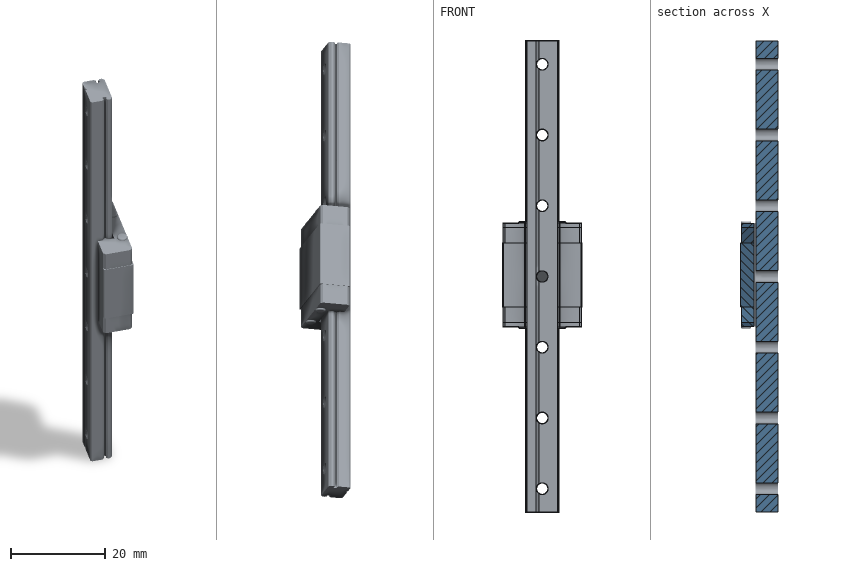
import cadquery as cq


rail_length = 100.0
rail_width = 7.0
rail_height = 4.8
rail_top_chamfer = 0.5
rail_bottom_chamfer = 0.3
hole_diameter = 2.4
hole_pitch = 15.0
hole_count = 7

race_height = 3.2
race_depth = 0.6
relief_radius = 0.4
relief_offset = 2.8

mark_radius = 0.3
mark_offset = -1.0

carriage_shift = 0.3
block_width = 16.9
block_length = 13.6
block_chamfer = 0.2
block_bottom = 1.5
block_top = 8.1
cap_width = 16.7
cap_bottom = block_bottom
cap_top = 7.9
cap_chamfer = 0.5
carriage_length = 22.0
seal_thickness = 0.9
cap_length = (carriage_length - block_length) / 2 - seal_thickness

channel_width = 7.5
channel_top = 5.1
tooth_depth = 0.7

screw_diameter = 2.2
screw_top_diameter = 1.6
screw_head_height = 0.35
screw_rounding = (screw_diameter - screw_top_diameter) / 2
screw_offset = 3.9
screw_height = 6.8


def mirrored_outline(right_half):
    """Close a half outline, listed from bottom to top at positive X, with its mirror image."""
    left_half = [(-x, y) for x, y in reversed(right_half)]
    return cq.Workplane("XY").polyline(right_half + left_half).close()


def make_rail():
    half = rail_width / 2
    outline = [
        (half - rail_bottom_chamfer, 0),
        (half, rail_bottom_chamfer),
        (half, race_height - race_depth),
        (half - race_depth, race_height),
        (half, race_height + race_depth),
        (half, rail_height - rail_top_chamfer),
        (half - rail_top_chamfer, rail_height),
    ]
    rail = mirrored_outline(outline).extrude(rail_length)
    reliefs = (
        cq.Workplane("XY")
        .pushPoints([(-relief_offset, race_height), (relief_offset, race_height)])
        .circle(relief_radius)
        .extrude(rail_length)
    )
    mark = cq.Workplane("XY").center(mark_offset, 0).circle(mark_radius).extrude(rail_length)
    rail = rail.cut(reliefs).cut(mark).translate((0, 0, -rail_length / 2))
    holes = (
        cq.Workplane("XZ")
        .rarray(1, hole_pitch, 1, hole_count)
        .circle(hole_diameter / 2)
        .extrude(-rail_height)
    )
    return rail.cut(holes)


def make_channel():
    """The through channel, with teeth that reach into the ball races of the rail."""
    half = channel_width / 2
    outline = [
        (half, 0),
        (half, race_height - tooth_depth),
        (half - tooth_depth, race_height),
        (half, race_height + tooth_depth),
        (half, channel_top),
    ]
    return mirrored_outline(outline).extrude(rail_length, both=True)


def make_slab(width, bottom, top, chamfer, start, length):
    """A chamfered carriage section with the rail channel cut through it."""
    slab = (
        cq.Workplane("XY", origin=(0, (bottom + top) / 2, start))
        .rect(width, top - bottom)
        .extrude(length)
        .edges("|Z")
        .chamfer(chamfer)
    )
    return slab.cut(make_channel())


def make_block():
    return make_slab(block_width, block_bottom, block_top, block_chamfer, -block_length / 2, block_length)


def make_cap():
    """The plastic end cap against the upper end of the block."""
    return make_slab(cap_width, cap_bottom, cap_top, cap_chamfer, block_length / 2, cap_length)


def make_seal():
    """The wiper plate that covers the end cap."""
    start = block_length / 2 + cap_length
    return make_slab(cap_width, cap_bottom, cap_top, cap_chamfer, start, seal_thickness)


def make_screw(x):
    """A domed screw head resting on the seal, rounded down to a small flat top."""
    return (
        cq.Workplane("XY", origin=(x, screw_height, carriage_length / 2))
        .circle(screw_diameter / 2)
        .extrude(screw_head_height)
        .faces(">Z")
        .fillet(screw_rounding)
    )


end_bodies = [make_cap(), make_seal(), make_screw(-screw_offset), make_screw(screw_offset)]
carriage = [make_block()]
for body in end_bodies:
    carriage.append(body)
    carriage.append(body.mirror("XY"))

solids = [make_rail().val()]
for body in carriage:
    solids.append(body.translate((0, 0, carriage_shift)).val())

result = cq.Compound.makeCompound(solids)